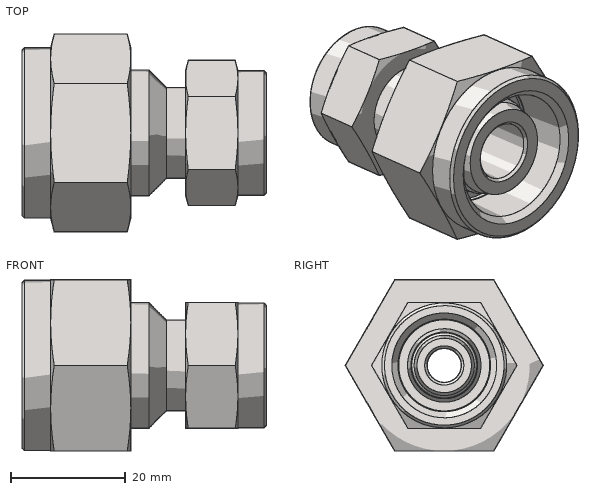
import cadquery as cq
import math

TOTAL_LENGTH = 42.85

COLLAR_LENGTH = 5.05
COLLAR_CHAMFER = 0.45
MOUTH_CHAMFER = 1.05
HEX_CHAMFER_ANGLE = 15.0
NUT_CLEARANCE = 0.13
RECESS_DEPTH = 10.3
LARGE_NUT_LENGTH = 19.05
LARGE_HEX_FLATS = 30.0
LARGE_COLLAR_RADIUS = 14.9
SMALL_NUT_LENGTH = 14.2
SMALL_HEX_FLATS = 22.02
SMALL_COLLAR_RADIUS = 10.93

LARGE_SHANK_RADIUS = 11.0
SMALL_SHANK_RADIUS = 7.95
TAPER_START = 22.25
TAPER_END = TAPER_START + LARGE_SHANK_RADIUS - SMALL_SHANK_RADIUS

TIP_DEPTH = 3.2
CONE_ANGLE = 12.0
CONE_SLOPE = math.tan(math.radians(CONE_ANGLE))
TIP_INSET = 3.2
CONE_RISE = 1.65
SHOULDER_DEPTH = TIP_DEPTH + CONE_RISE / CONE_SLOPE

GROOVE_RISE_START = 0.5
GROOVE_RISE_END = 1.05
GROOVE_START = TIP_DEPTH + GROOVE_RISE_START / CONE_SLOPE
GROOVE_END = TIP_DEPTH + GROOVE_RISE_END / CONE_SLOPE
BEAD_RADIUS = 0.75
BEAD_INSET = 3.05
GROOVE_FLOOR_INSET = 3.65

LARGE_BORE_RADIUS = 5.0
SMALL_BORE_RADIUS = 2.95
BORE_CHAMFER = 0.45
DRILL_HALF_ANGLE = 59.0
LARGE_BORE_END = TAPER_START
DRILL_POINT_LENGTH = (LARGE_BORE_RADIUS - SMALL_BORE_RADIUS) / math.tan(math.radians(DRILL_HALF_ANGLE))


def revolve_about_x(points):
    """Turn a closed (x, radius) outline about the X axis."""
    return cq.Workplane("XY").polyline(points).close().revolve(360, (0, 0, 0), (1, 0, 0))


def turn_to_far_end(shape):
    """Move a shape made for the large end, at x = 0, to the small end."""
    return shape.rotate((0, 0, 0), (0, 0, 1), 180).translate((TOTAL_LENGTH, 0, 0))


def make_hexagon(length, flats):
    """Hexagonal part of a nut with its corners cut back at both ends."""
    corner_radius = flats / 2 / math.cos(math.pi / 6)
    setback = (corner_radius - flats / 2) * math.tan(math.radians(HEX_CHAMFER_ANGLE))
    hexagon = (
        cq.Workplane("YZ", origin=(COLLAR_LENGTH, 0, 0))
        .polygon(6, 2 * corner_radius)
        .extrude(length - COLLAR_LENGTH)
    )
    corner_limit = revolve_about_x([
        (COLLAR_LENGTH, 0),
        (COLLAR_LENGTH, flats / 2),
        (COLLAR_LENGTH + setback, corner_radius),
        (length - setback, corner_radius),
        (length, flats / 2),
        (length, 0),
    ])
    return hexagon.intersect(corner_limit)


def make_nut(length, flats, collar_radius, shank_radius):
    """Nut with its open face at x = 0, bored to slide over a shank of the body."""
    collar = cq.Workplane("YZ").circle(collar_radius).extrude(length)
    collar = collar.faces("<X").chamfer(COLLAR_CHAMFER)
    bore_radius = shank_radius + NUT_CLEARANCE
    opening = revolve_about_x([
        (0, 0),
        (0, bore_radius + MOUTH_CHAMFER),
        (MOUTH_CHAMFER, bore_radius),
        (RECESS_DEPTH, bore_radius),
        (RECESS_DEPTH, shank_radius),
        (length, shank_radius),
        (length, 0),
    ])
    return make_hexagon(length, flats).union(collar).cut(opening)


def make_cone_end(shank_radius):
    """Sealing cone with its grooved bead, tip facing -X, up to the body's shoulder."""
    tip_radius = shank_radius - TIP_INSET
    floor_radius = shank_radius - GROOVE_FLOOR_INSET
    cone = revolve_about_x([
        (TIP_DEPTH, 0),
        (TIP_DEPTH, tip_radius),
        (GROOVE_START, tip_radius + GROOVE_RISE_START),
        (GROOVE_START, floor_radius),
        (GROOVE_END, floor_radius),
        (GROOVE_END, tip_radius + GROOVE_RISE_END),
        (SHOULDER_DEPTH, tip_radius + CONE_RISE),
        (SHOULDER_DEPTH, 0),
    ])
    bead = (
        cq.Workplane("XY")
        .center((GROOVE_START + GROOVE_END) / 2, shank_radius - BEAD_INSET)
        .circle(BEAD_RADIUS)
        .revolve(360, (0, BEAD_INSET - shank_radius, 0), (1, BEAD_INSET - shank_radius, 0))
    )
    return cone.union(bead)


def make_shank():
    """Middle of the body, from shoulder to shoulder."""
    return revolve_about_x([
        (SHOULDER_DEPTH, 0),
        (SHOULDER_DEPTH, LARGE_SHANK_RADIUS),
        (TAPER_START, LARGE_SHANK_RADIUS),
        (TAPER_END, SMALL_SHANK_RADIUS),
        (TOTAL_LENGTH - SHOULDER_DEPTH, SMALL_SHANK_RADIUS),
        (TOTAL_LENGTH - SHOULDER_DEPTH, 0),
    ])


def make_bore():
    """Stepped passage, bevelled at both tips."""
    far_tip = TOTAL_LENGTH - TIP_DEPTH
    return revolve_about_x([
        (TIP_DEPTH, 0),
        (TIP_DEPTH, LARGE_BORE_RADIUS + BORE_CHAMFER),
        (TIP_DEPTH + BORE_CHAMFER, LARGE_BORE_RADIUS),
        (LARGE_BORE_END, LARGE_BORE_RADIUS),
        (LARGE_BORE_END + DRILL_POINT_LENGTH, SMALL_BORE_RADIUS),
        (far_tip - BORE_CHAMFER, SMALL_BORE_RADIUS),
        (far_tip, SMALL_BORE_RADIUS + BORE_CHAMFER),
        (far_tip, 0),
    ])


def make_body():
    large_end = make_cone_end(LARGE_SHANK_RADIUS)
    small_end = turn_to_far_end(make_cone_end(SMALL_SHANK_RADIUS))
    return make_shank().union(large_end).union(small_end).cut(make_bore())


body = make_body()
large_nut = make_nut(LARGE_NUT_LENGTH, LARGE_HEX_FLATS, LARGE_COLLAR_RADIUS, LARGE_SHANK_RADIUS)
small_nut = turn_to_far_end(
    make_nut(SMALL_NUT_LENGTH, SMALL_HEX_FLATS, SMALL_COLLAR_RADIUS, SMALL_SHANK_RADIUS)
)

result = cq.Compound.makeCompound([body.val(), large_nut.val(), small_nut.val()])